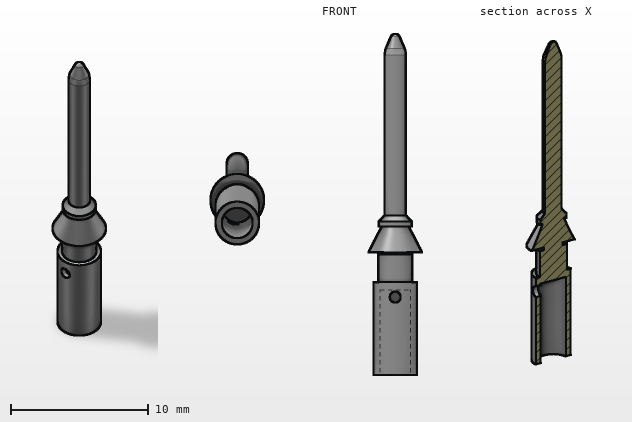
import cadquery as cq
import math


total_length = 24.9
barrel_length = 6.78
body_length = 2.02
neck_length = 0.16
cone_length = 1.87
collar_length = 0.37
collar_taper_length = 0.45
tip_length = 1.55
tip_round_length = 0.48
dome_height = 0.2

barrel_diameter = 3.19
body_diameter = 2.51
neck_diameter = 1.77
cone_bottom_diameter = 3.93
cone_top_diameter = 2.0
collar_diameter = 2.43
pin_diameter = 1.57
tip_cone_diameter = 1.4
dome_diameter = 0.64

barrel_top = barrel_length
body_top = barrel_top + body_length
cone_bottom = body_top + neck_length
cone_top = cone_bottom + cone_length
collar_top = cone_top + collar_length
pin_bottom = collar_top + collar_taper_length
pin_top = total_length - tip_length
tip_cone_bottom = pin_top + tip_round_length
dome_bottom = total_length - dome_height

bore_diameter = 2.25
bore_depth = 6.2
inspection_diameter = 0.8
inspection_height = 5.69


def turned_contact():
    """Solid of revolution with the full outer profile of the contact."""
    dome_radius = dome_diameter / 2
    sphere_radius = (dome_radius**2 + dome_height**2) / (2 * dome_height)
    half_angle = math.asin(dome_radius / sphere_radius) / 2
    dome_middle = (
        sphere_radius * math.sin(half_angle),
        total_length - sphere_radius * (1 - math.cos(half_angle)),
    )
    profile = (
        cq.Workplane("XZ")
        .lineTo(barrel_diameter / 2, 0)
        .lineTo(barrel_diameter / 2, barrel_top)
        .lineTo(body_diameter / 2, barrel_top)
        .lineTo(body_diameter / 2, body_top)
        .lineTo(neck_diameter / 2, body_top)
        .lineTo(neck_diameter / 2, cone_bottom)
        .lineTo(cone_bottom_diameter / 2, cone_bottom)
        .lineTo(cone_top_diameter / 2, cone_top)
        .lineTo(collar_diameter / 2, cone_top)
        .lineTo(collar_diameter / 2, collar_top)
        .lineTo(pin_diameter / 2, pin_bottom)
        .lineTo(pin_diameter / 2, pin_top)
        .tangentArcPoint((tip_cone_diameter / 2, tip_cone_bottom), relative=False)
        .lineTo(dome_radius, dome_bottom)
        .threePointArc(dome_middle, (0, total_length))
        .close()
    )
    return profile.revolve(360, (0, 0, 0), (0, 1, 0))


def wire_bore():
    """Blind bore that takes the wire, open at the bottom."""
    return cq.Workplane("XY").circle(bore_diameter / 2).extrude(bore_depth)


def inspection_hole():
    """Radial hole from the -Y side to the axis."""
    return (
        cq.Workplane("XZ")
        .center(0, inspection_height)
        .circle(inspection_diameter / 2)
        .extrude(barrel_diameter)
    )


result = turned_contact().cut(wire_bore()).cut(inspection_hole())